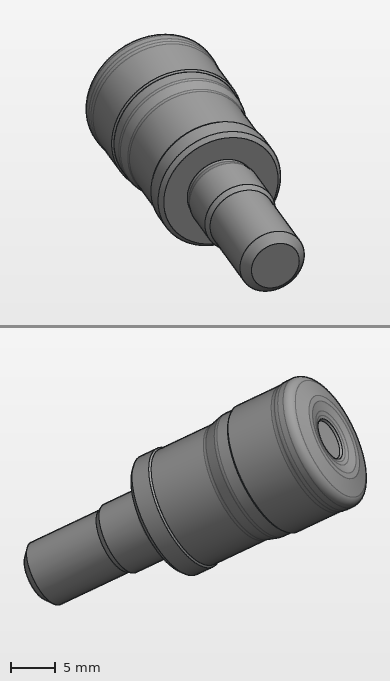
import cadquery as cq
import math


overall_length = 40.0
shoulder_x = 9.3
head_end_x = 22.9

post_diameter = 4.6
front_ring_diameter = 15.3
barrel_diameter = 14.35
head_diameter = 14.75
neck_diameter = 8.1
collar_diameter = 8.5
shank_diameter = 7.75

post_tip_x = 0.8
front_cone_start_x = 10.95
front_cone_end_x = 12.7
front_cone_fillet = 1.5
head_start_x = 20.15
head_chamfer = 0.5
neck_end_x = 23.35
collar_start_x = 24.1
collar_end_x = 28.95
shank_start_x = 29.6
shank_chamfer_length = 1.0
shank_tip_radius = 2.875

cap_radius = 7.995
cap_skirt_radius = 7.87
cap_round = 1.1
cap_round_end_x = 1.57
face_slope_degrees = 13.0
bulge_end_x = 2.3
skirt_start_x = 3.27
cap_rear_chamfer = 0.2

land_outer_radius = 5.1
land_inner_radius = 4.4
funnel_end_x = 0.28
funnel_end_radius = 3.31
throat_round_x = 0.42
throat_round_radius = 2.83
bore_start_x = 0.54
bore_start_radius = 2.47


def make_stud():
    """Metal stud with head, barrel and a front post that carries the cap."""
    post_r = post_diameter / 2
    ring_r = front_ring_diameter / 2
    barrel_r = barrel_diameter / 2
    head_r = head_diameter / 2
    neck_r = neck_diameter / 2
    collar_r = collar_diameter / 2
    shank_r = shank_diameter / 2

    head_cone_start_x = head_start_x - (head_r - barrel_r)

    slope = math.atan2(ring_r - barrel_r, front_cone_end_x - front_cone_start_x)
    tangent = front_cone_fillet * math.tan(slope / 2)
    run = tangent * math.cos(slope)
    drop = tangent * math.sin(slope)

    profile = (
        cq.Workplane("XY")
        .moveTo(post_tip_x, 0)
        .lineTo(post_tip_x, post_r)
        .lineTo(shoulder_x, post_r)
        .lineTo(shoulder_x, ring_r)
        .lineTo(front_cone_start_x - tangent, ring_r)
        .tangentArcPoint((front_cone_start_x + run, ring_r - drop), relative=False)
        .lineTo(front_cone_end_x - run, barrel_r + drop)
        .tangentArcPoint((front_cone_end_x + tangent, barrel_r), relative=False)
        .lineTo(head_cone_start_x, barrel_r)
        .lineTo(head_start_x, head_r)
        .lineTo(head_end_x - head_chamfer, head_r)
        .lineTo(head_end_x, head_r - head_chamfer)
        .lineTo(head_end_x, neck_r)
        .lineTo(neck_end_x, neck_r)
        .lineTo(collar_start_x, collar_r)
        .lineTo(collar_end_x, collar_r)
        .lineTo(shank_start_x, shank_r)
        .lineTo(overall_length - shank_chamfer_length, shank_r)
        .lineTo(overall_length, shank_tip_radius)
        .lineTo(overall_length, 0)
        .close()
    )
    return profile.revolve(360, (0, 0, 0), (1, 0, 0))


def make_cap():
    """Soft cap with a sloped front face, a funnel mouth and a bore for the stud's post."""
    post_r = post_diameter / 2

    slope = math.radians(face_slope_degrees)
    round_start_x = cap_round_end_x - cap_round * math.cos(slope)
    round_start_r = cap_radius - cap_round * (1 - math.sin(slope))

    step_middle = ((bulge_end_x + skirt_start_x) / 2, (cap_radius + cap_skirt_radius) / 2)

    profile = (
        cq.Workplane("XY")
        .moveTo(0, land_inner_radius)
        .lineTo(0, land_outer_radius)
        .lineTo(round_start_x, round_start_r)
        .tangentArcPoint((cap_round_end_x, cap_radius), relative=False)
        .lineTo(bulge_end_x, cap_radius)
        .tangentArcPoint(step_middle, relative=False)
        .tangentArcPoint((skirt_start_x, cap_skirt_radius), relative=False)
        .lineTo(shoulder_x - cap_rear_chamfer, cap_skirt_radius)
        .lineTo(shoulder_x, cap_skirt_radius - cap_rear_chamfer)
        .lineTo(shoulder_x, post_r)
        .lineTo(post_tip_x, post_r)
        .lineTo(bore_start_x, bore_start_radius)
        .lineTo(throat_round_x, throat_round_radius)
        .lineTo(funnel_end_x, funnel_end_radius)
        .close()
    )
    return profile.revolve(360, (0, 0, 0), (1, 0, 0))


stud = make_stud()
cap = make_cap()

result = cq.Compound.makeCompound([stud.val(), cap.val()])